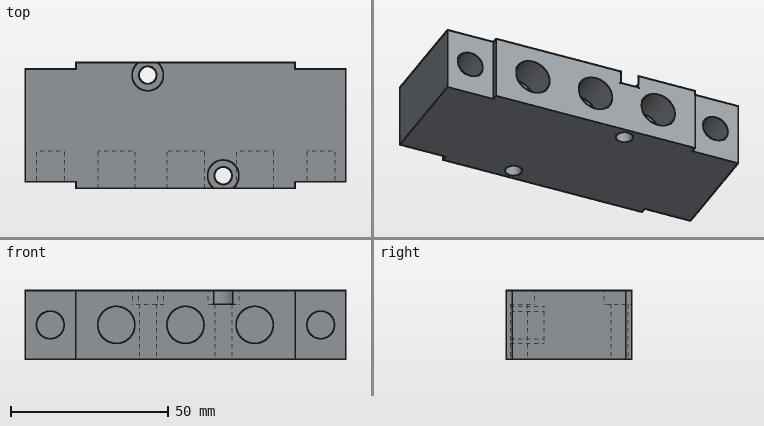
import cadquery as cq

total_length = 102.0
end_width = 36.0
height = 22.0

middle_length = 69.8
middle_width = 40.0

port_diameter = 11.8
port_spacing = 22.0
port_depth = 12.0
pilot_diameter = 8.8
pilot_offset = 43.0
pilot_depth = 10.0

mount_offset_x = 12.0
mount_offset_y = 16.0
mount_diameter = 5.5
counterbore_diameter = 10.0
counterbore_depth = 4.4


def make_body():
    """Long block with a slightly wider middle, resting on Z = 0."""
    base = (True, True, False)
    ends = cq.Workplane("XY").box(total_length, end_width, height, centered=base)
    middle = cq.Workplane("XY").box(middle_length, middle_width, height, centered=base)
    return ends.union(middle)


def front_bores(x_positions, face_width, diameter, depth):
    """Blind bores running in +Y from the front face of a section."""
    return (
        cq.Workplane("XZ", origin=(0, -face_width / 2, height / 2))
        .pushPoints([(x, 0) for x in x_positions])
        .circle(diameter / 2)
        .extrude(-depth)
    )


def mounting_holes():
    """Through holes with counterbores that break out of the side faces."""
    points = [(mount_offset_x, -mount_offset_y), (-mount_offset_x, mount_offset_y)]
    top = cq.Workplane("XY", origin=(0, 0, height)).pushPoints(points)
    through = top.circle(mount_diameter / 2).extrude(-height)
    counterbores = top.circle(counterbore_diameter / 2).extrude(-counterbore_depth)
    return through.union(counterbores)


ports = front_bores([-port_spacing, 0, port_spacing], middle_width, port_diameter, port_depth)
pilots = front_bores([-pilot_offset, pilot_offset], end_width, pilot_diameter, pilot_depth)

result = make_body().cut(ports).cut(pilots).cut(mounting_holes())